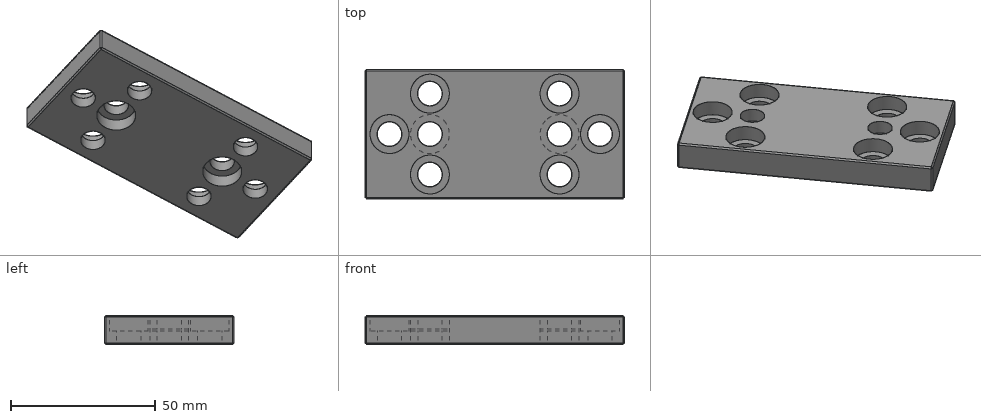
import cadquery as cq

length = 90.0
width = length / 2
thickness = 10.0
edge_chamfer = 0.5

hole_diameter = 8.5
counterbore_diameter = 13.5
counterbore_depth = 5.3
row_x = length / 4
row_y = 14.0
end_hole_x = 36.5

bottom_points = [(side * row_x, 0) for side in (-1, 1)]
top_points = []
for side in (-1, 1):
    top_points += [
        (side * row_x, row_y),
        (side * row_x, -row_y),
        (side * end_hole_x, 0),
    ]

plate = (
    cq.Workplane("XY")
    .box(length, width, thickness, centered=(True, True, False))
    .edges()
    .chamfer(edge_chamfer)
)

plate = (
    plate.faces(">Z")
    .workplane(origin=(0, 0, thickness))
    .pushPoints(top_points)
    .cboreHole(hole_diameter, counterbore_diameter, counterbore_depth)
)

result = (
    plate.faces("<Z")
    .workplane(origin=(0, 0, 0))
    .pushPoints(bottom_points)
    .cboreHole(hole_diameter, counterbore_diameter, counterbore_depth)
)